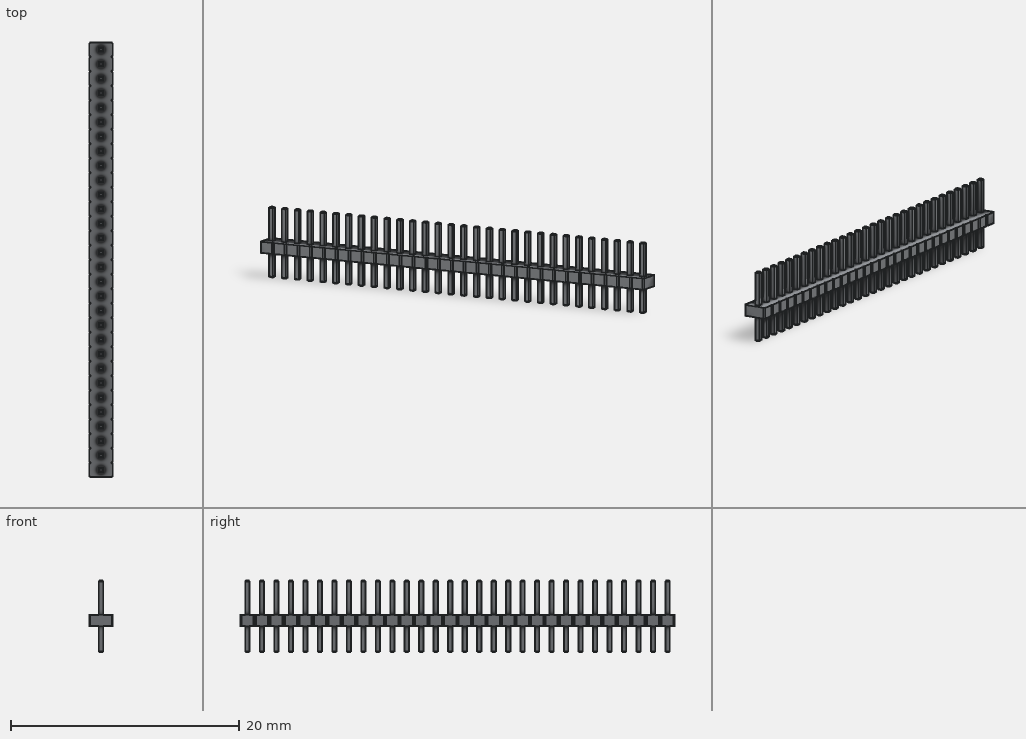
import cadquery as cq


pin_count = 30
strip_length = 38.1
strip_width = 2.1
strip_height = 1.0
pitch = strip_length / pin_count
corner_chamfer = pitch / 10

total_height = 6.3
pin_above = 3.0
pin_below = total_height - strip_height - pin_above
tip_chamfer = 0.095
tip_width = 0.21
pin_width = tip_width + 2 * tip_chamfer

pin_positions = [(index - (pin_count - 1) / 2) * pitch for index in range(pin_count)]


def make_strip():
    """Row of bevelled segments in one outline; neighbouring bevels form V notches."""
    outer_x = strip_width / 2
    notch_x = outer_x - corner_chamfer
    half_pitch = pitch / 2
    right_side = []
    for y in pin_positions:
        right_side.append((notch_x, y - half_pitch))
        right_side.append((outer_x, y - half_pitch + corner_chamfer))
        right_side.append((outer_x, y + half_pitch - corner_chamfer))
    right_side.append((notch_x, strip_length / 2))
    left_side = [(-x, y) for x, y in reversed(right_side)]
    return cq.Workplane("XY").polyline(right_side + left_side).close().extrude(strip_height)


def make_pin(y):
    """Square pin through the strip with a bevelled tip at each end."""
    return (
        cq.Workplane("XY", origin=(0, y, -pin_below))
        .rect(pin_width, pin_width)
        .extrude(total_height)
        .faces("<Z or >Z")
        .chamfer(tip_chamfer)
    )


result = make_strip()
for pin_y in pin_positions:
    result = result.union(make_pin(pin_y))